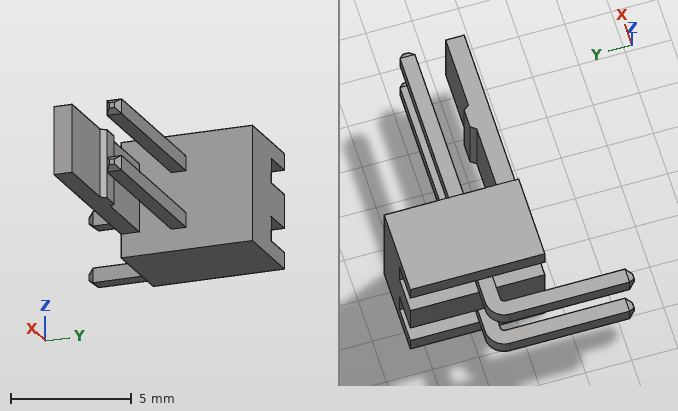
import cadquery as cq

length = 13.2

housing_start = 1.8
housing_length = 3.7
housing_end = housing_start + housing_length
housing_depth = 5.82
housing_height = 5.08

slot_depth = 1.52
slot_height = 1.07
slot_pitch = 2.56

tab_thickness = 0.8
tab_height = 3.0
bump_height = 0.24
bump_base_start = 8.8
bump_base_length = 1.19
bump_ramp_run = 0.18

pin_size = 0.65
pin_pitch = 2.5
pin_bottom_y = 2.23
pin_end = 13.15
leg_end_y = -3.38
inner_bend_radius = 0.17
outer_bend_radius = inner_bend_radius + pin_size
tip_length = 0.26
tip_size = 0.24


def make_housing():
    """Block with two slots open to the rear and running through its full depth."""
    block = cq.Workplane("XY").box(
        housing_length, housing_depth, housing_height, centered=(False, False, True)
    )
    for z in (-slot_pitch / 2, slot_pitch / 2):
        slot = cq.Workplane("XY").box(
            slot_depth, housing_depth, slot_height, centered=(False, False, True)
        )
        block = block.cut(slot.translate((0, 0, z)))
    return block.translate((housing_start, 0, 0))


def make_tab():
    """Flat tab, flush with the housing's front face, with a trapezoidal bump inside."""
    bump_base_end = bump_base_start + bump_base_length
    bump_top = tab_thickness + bump_height
    return (
        cq.Workplane("XY")
        .moveTo(housing_end, 0)
        .lineTo(length, 0)
        .lineTo(length, tab_thickness)
        .lineTo(bump_base_end, tab_thickness)
        .lineTo(bump_base_end - bump_ramp_run, bump_top)
        .lineTo(bump_base_start + bump_ramp_run, bump_top)
        .lineTo(bump_base_start, tab_thickness)
        .lineTo(housing_end, tab_thickness)
        .close()
        .extrude(tab_height / 2, both=True)
    )


def make_tip(base_center, direction):
    """Square pyramid frustum tapering along the given direction."""
    base = cq.Plane(origin=base_center, xDir=(0, 0, 1), normal=direction)
    return (
        cq.Workplane(base)
        .rect(pin_size, pin_size)
        .workplane(offset=tip_length)
        .rect(tip_size, tip_size)
        .loft(ruled=True)
    )


def make_pin():
    """Right-angle pin: a contact along X, a rounded bend and a leg along -Y."""
    contact_end = pin_end - tip_length
    leg_end = leg_end_y + tip_length
    pin_top_y = pin_bottom_y + pin_size
    shaft = (
        cq.Workplane("XY")
        .moveTo(contact_end, pin_top_y)
        .lineTo(outer_bend_radius, pin_top_y)
        .radiusArc((0, pin_top_y - outer_bend_radius), -outer_bend_radius)
        .lineTo(0, leg_end)
        .lineTo(pin_size, leg_end)
        .lineTo(pin_size, pin_bottom_y - inner_bend_radius)
        .radiusArc((pin_size + inner_bend_radius, pin_bottom_y), inner_bend_radius)
        .lineTo(contact_end, pin_bottom_y)
        .close()
        .extrude(pin_size / 2, both=True)
    )
    contact_tip = make_tip((contact_end, pin_bottom_y + pin_size / 2, 0), (1, 0, 0))
    leg_tip = make_tip((pin_size / 2, leg_end, 0), (0, -1, 0))
    return shaft.union(contact_tip).union(leg_tip)


result = make_housing().union(make_tab())
for pin_z in (-pin_pitch / 2, pin_pitch / 2):
    result = result.union(make_pin().translate((0, 0, pin_z)))